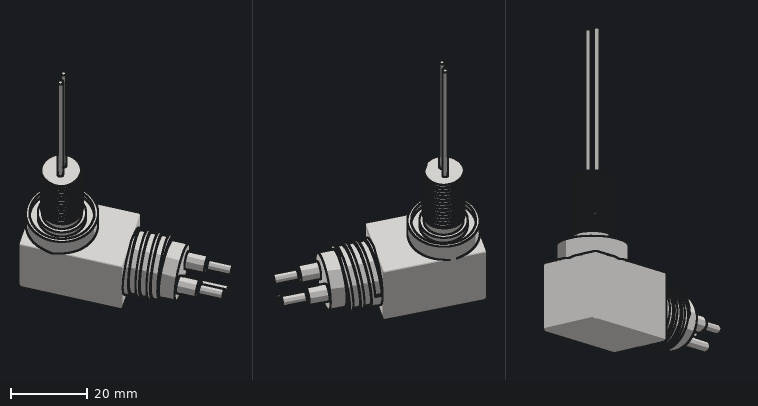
import cadquery as cq

body_width = 19.0
body_length = 28.5
body_height = body_width
body_fillet = 1.0
small_fillet = 0.5

ring_dia = body_width
ring_top = 23.9
ring_groove_outer_dia = 17.0
ring_groove_inner_dia = 12.7
ring_groove_depth = 1.8

spigot_x = ring_dia / 2
neck_dia = 10.4
spigot_top = 42.8
spigot_thread_bottom = 26.4
spigot_thread_dia = 11.0
spigot_thread_root_dia = 10.0
spigot_thread_pitch = 1.25
spigot_root_width = 0.2
spigot_crest_width = 0.25
spigot_runout = 0.25
spigot_runout_angle = -75

wire_dia = 1.5
wire_spacing = 3.1
wire_top = 82.8

plug_axis_z = 9.8
plug_root_dia = 17.0
plug_end = 37.9
plug_thread_dia = 18.05
plug_thread_pitch = 3.0
plug_groove_start = 29.5
plug_rib_root_width = 1.2
plug_rib_crest_width = 1.0
flange_dia = 15.5
flange_end = 42.2

pin_end = 54.8
pin_dia = 2.8
pin_offset = 4.1
pin_chamfer = 0.25
collar_dia = 4.8
collar_end = 48.1
collar_chamfer = 0.5
lower_pin_dia = 3.2
lower_pin_drop = 4.0

overlap = 0.1


def x_cylinder(diameter, start, end, y=0, z=plug_axis_z):
    return cq.Workplane("YZ", origin=(start, y, z)).circle(diameter / 2).extrude(end - start)


def z_cylinder(diameter, bottom, top, y=0):
    return cq.Workplane("XY", origin=(spigot_x, y, bottom)).circle(diameter / 2).extrude(top - bottom)


def helical_bar(inner_radius, outer_radius, inner_width, outer_width, pitch, length):
    """Right-handed trapezoidal bar wound about +Z, its centre starting at z = 0 on the +X side."""
    profile = [
        (inner_radius, -inner_width / 2),
        (outer_radius, -outer_width / 2),
        (outer_radius, outer_width / 2),
        (inner_radius, inner_width / 2),
    ]
    path = cq.Workplane(cq.Wire.makeHelix(pitch, length, inner_radius))
    return cq.Workplane("XZ").polyline(profile).close().sweep(path, isFrenet=True)


def make_body():
    block = cq.Workplane("XY").box(body_length, body_width, body_height, centered=(False, True, False))
    block = block.edges("|Z and <X").fillet(body_fillet)
    block = block.faces("<Z").edges("not >X").fillet(body_fillet)
    block = block.faces(">Z").edges("not >X").fillet(small_fillet)
    return block.faces(">X").edges().fillet(small_fillet)


def make_ring():
    ring = z_cylinder(ring_dia, body_height - small_fillet, ring_top)
    groove_floor = ring_top - ring_groove_depth
    groove = z_cylinder(ring_groove_outer_dia, groove_floor, ring_top)
    groove = groove.cut(z_cylinder(ring_groove_inner_dia, groove_floor, ring_top))
    return ring.cut(groove)


def make_spigot():
    neck = z_cylinder(neck_dia, ring_top, spigot_thread_bottom)
    spigot = neck.union(z_cylinder(spigot_thread_dia, spigot_thread_bottom, spigot_top))

    root_radius = spigot_thread_root_dia / 2
    crest_radius = spigot_thread_dia / 2
    mouth_width = spigot_thread_pitch - spigot_crest_width
    flare = (mouth_width - spigot_root_width) / (crest_radius - root_radius)
    groove_start = spigot_thread_bottom - spigot_runout
    groove = helical_bar(
        root_radius,
        crest_radius + overlap,
        spigot_root_width,
        mouth_width + flare * overlap,
        spigot_thread_pitch,
        spigot_top + spigot_thread_pitch - groove_start,
    )
    groove = groove.rotate((0, 0, 0), (0, 0, 1), spigot_runout_angle).translate((spigot_x, 0, groove_start))
    return spigot.cut(groove)


def make_wires():
    wires = cq.Workplane("XY")
    for side in (-1, 1):
        wires = wires.union(z_cylinder(wire_dia, ring_top, wire_top, side * wire_spacing / 2))
    return wires


def make_plug():
    core_start = body_length - small_fillet
    core_stop = plug_end + plug_thread_pitch
    plug = x_cylinder(plug_thread_dia, core_start, core_stop)

    groove = helical_bar(
        plug_root_dia / 2,
        plug_thread_dia / 2 + overlap,
        plug_thread_pitch - plug_rib_root_width,
        plug_thread_pitch - plug_rib_crest_width,
        plug_thread_pitch,
        core_stop - plug_groove_start,
    )
    groove = groove.rotate((0, 0, 0), (0, 1, 0), 90).rotate((0, 0, 0), (1, 0, 0), 90)
    groove = groove.translate((plug_groove_start, 0, plug_axis_z))

    plug = plug.cut(groove).cut(x_cylinder(2 * plug_thread_dia, plug_end, core_stop))
    return plug.union(x_cylinder(flange_dia, plug_end - overlap, flange_end))


def make_pins():
    lower_pin_z = plug_axis_z - lower_pin_drop
    pins = x_cylinder(lower_pin_dia, plug_end, pin_end, z=lower_pin_z).faces(">X").chamfer(pin_chamfer)
    for side in (-1, 1):
        y = side * pin_offset
        collar = x_cylinder(collar_dia, plug_end, collar_end, y).faces(">X").chamfer(collar_chamfer)
        pin = x_cylinder(pin_dia, plug_end, pin_end, y).faces(">X").chamfer(pin_chamfer)
        pins = pins.union(collar).union(pin)
    return pins


result = make_body()
for component in (make_ring(), make_spigot(), make_wires(), make_plug(), make_pins()):
    result = result.union(component)